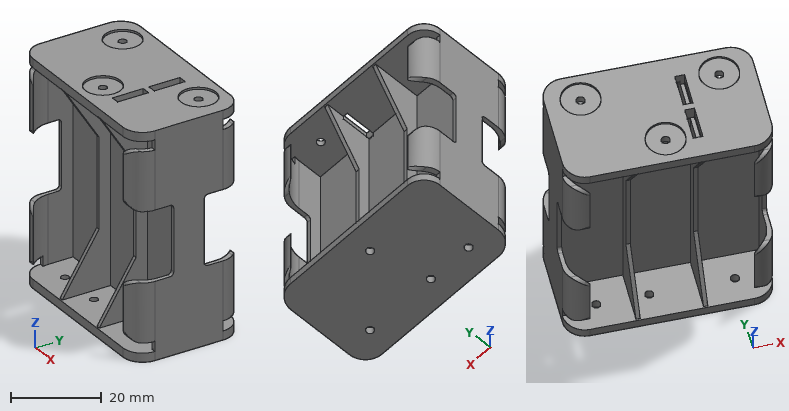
import cadquery as cq


length_x = 47.6
depth_y = 28.0
height_z = 57.9

plate_thickness = 2.3
corner_radius = 5.1
side_wall = 1.05
divider_thickness = 1.95

clip_top_z = 24.1
clip_bottom_z = 9.0
clip_corner_radius = 2.0
window_half_y = 4.0
window_corner_radius = 1.0
margin = 0.6

cell_pitch = 15.75
cell_y = 7.5

rib_outer_x = 8.15
rib_thickness = 1.0
rib_foot_half_y = 13.6
rib_waist_half_y = 4.0
rib_slope_height = 15.05

hole_radius = 1.0
wire_hole_x = -3.7
recess_radius = 4.5
recess_depth = 0.5
slot_width = 2.2
slot_inner_y = 0.75
slot_outer_y = 8.8
slot_extra_depth = 0.9

inner_half_z = height_z / 2 - plate_thickness
inner_height = 2 * inner_half_z
clip_height = clip_top_z - clip_bottom_z
inner_half_x = length_x / 2 - side_wall
cell_bore_radius = inner_half_x - cell_pitch
straight_y = depth_y - 2 * corner_radius


def end_plate(base_z):
    """Rounded rectangular plate standing on base_z."""
    plate = cq.Workplane("XY").box(length_x, depth_y, plate_thickness, centered=(True, True, False))
    return plate.edges("|Z").fillet(corner_radius).translate((0, 0, base_z))


def side_walls():
    """Both side walls, each curling into four clips around the outer cells."""
    outer = cq.Workplane("XY").box(length_x, depth_y, inner_height).edges("|Z").fillet(corner_radius)
    inner = cq.Workplane("XY").box(2 * inner_half_x, 2 * cell_y, inner_height)
    bores = (
        cq.Workplane("XY", origin=(0, 0, -inner_half_z))
        .rect(2 * cell_pitch, 2 * cell_y, forConstruction=True)
        .vertices()
        .circle(cell_bore_radius)
        .extrude(inner_height)
    )
    opening = cq.Workplane("XY").box(length_x - 2 * corner_radius, depth_y, inner_height)

    profile = cq.Workplane("XY").box(length_x, 2 * window_half_y, inner_height)
    web_height = inner_half_z - clip_bottom_z
    for sign in (1, -1):
        web = cq.Workplane("XY").box(length_x, straight_y, web_height)
        clip = cq.Workplane("XY").box(length_x, depth_y, clip_height).edges("|X").fillet(clip_corner_radius)
        profile = profile.union(web.translate((0, 0, sign * (clip_bottom_z + inner_half_z) / 2)))
        profile = profile.union(clip.translate((0, 0, sign * (clip_bottom_z + clip_top_z) / 2)))
    window_corner = (length_x, window_half_y + margin, clip_bottom_z + margin)
    opposite_corner = tuple(-place for place in window_corner)
    inside_window = cq.selectors.BoxSelector(opposite_corner, window_corner)
    profile = profile.edges("|X").edges(inside_window).fillet(window_corner_radius)
    return outer.cut(inner).cut(bores).cut(opening).intersect(profile)


def rib(outer_x):
    """Rib with its outer face at outer_x, wide at both plates and narrow between them."""
    waist_z = inner_half_z - rib_slope_height
    right_edge = [
        (rib_foot_half_y, -inner_half_z),
        (rib_waist_half_y, -waist_z),
        (rib_waist_half_y, waist_z),
        (rib_foot_half_y, inner_half_z),
    ]
    left_edge = [(-y, z) for y, z in reversed(right_edge)]
    inward = -rib_thickness if outer_x > 0 else rib_thickness
    return (
        cq.Workplane("YZ")
        .polyline(right_edge + left_edge)
        .close()
        .extrude(inward)
        .translate((outer_x, 0, 0))
    )


def contact_slots():
    """Pair of slots through the top plate beside the +X rib, notching the rib and the divider."""
    slot_depth = plate_thickness + slot_extra_depth
    slot_length = slot_outer_y - slot_inner_y
    slot_y = (slot_outer_y + slot_inner_y) / 2
    return (
        cq.Workplane("XY", origin=(rib_outer_x - slot_width / 2, 0, height_z / 2))
        .pushPoints([(0, slot_y), (0, -slot_y)])
        .rect(slot_width, slot_length)
        .extrude(-slot_depth)
    )


def plate_holes(places, start_z):
    """Holes at the given places through the plate that starts at start_z."""
    return (
        cq.Workplane("XY", origin=(0, 0, start_z))
        .pushPoints(places)
        .circle(hole_radius)
        .extrude(plate_thickness)
    )


divider = cq.Workplane("XY").box(length_x - side_wall, divider_thickness, inner_height)
result = side_walls().union(divider)
for rib_x in (rib_outer_x, -rib_outer_x):
    result = result.union(rib(rib_x))
for plate_z in (-height_z / 2, inner_half_z):
    result = result.union(end_plate(plate_z))

result = result.cut(contact_slots())

top_terminals = [(-cell_pitch, cell_y), (cell_pitch, cell_y), (0, -cell_y)]
bottom_terminals = [(-cell_pitch, -cell_y), (cell_pitch, -cell_y), (0, cell_y)]
recesses = (
    cq.Workplane("XY", origin=(0, 0, height_z / 2))
    .pushPoints(top_terminals)
    .circle(recess_radius)
    .extrude(-recess_depth)
)
result = result.cut(plate_holes(top_terminals, inner_half_z)).cut(recesses)
wire_hole = [(wire_hole_x, -cell_y)]
result = result.cut(plate_holes(bottom_terminals + wire_hole, -height_z / 2))